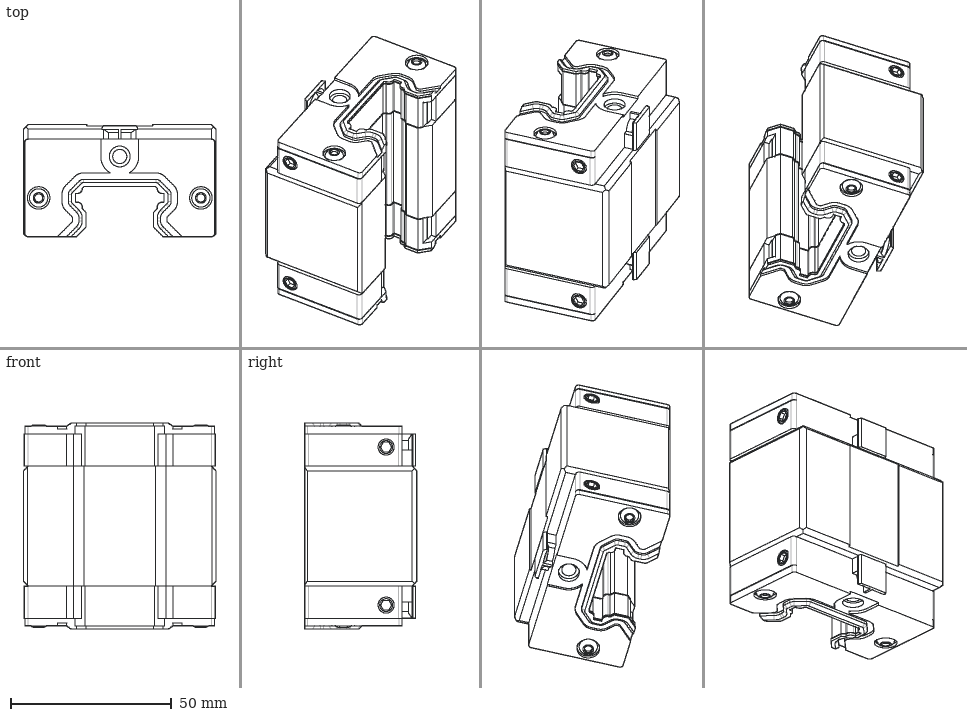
import cadquery as cq


block_half_length = 18.7
cap_length = 10.0
plate_thickness = 2.4
seal_height = 1.0
cap_start = block_half_length
plate_start = cap_start + cap_length
plate_end = plate_start + plate_thickness

block_width = 60.0
block_height = 35.0
block_chamfer = 1.5
foot_chamfer_x = 1.25
foot_chamfer_y = 0.85
relief_width = 20.4
relief_depth = 0.5

cap_width = 59.5
plate_width = 59.0
end_height = 30.4
cap_foot_y = 0.05
cap_corner_radius = 1.15
plate_corner_radius = 1.0

lip_half_gap = 10.5
lip_chamfer = 3.0
lip_top = 7.6
step_half_gap = 11.6
step_slope = step_half_gap - lip_half_gap
groove_half_gap = 13.75
groove_bottom = 10.8
groove_top = 13.45
groove_corner_radius = 1.6
roof_y = 15.65
roof_chamfer = 0.5
cap_clearance = 0.3
block_clearance = 0.6
below_part = 10.0
selection_slack = 0.5

seal_foot_line = 16.6
seal_neck_line = 5.8
seal_half_width = 16.0
seal_neck_half_width = 12.7
seal_shoulder_line = 29.95
seal_roof_y = 17.9
seal_neck_radius = 2.5
seal_shoulder_radius = 2.0
channel_width = 2.0
channel_depth = 0.85

grease_y = 25.0
grease_recess_radius = 5.9
grease_counterbore = 6.5
grease_hole = 4.4

screw_x = 25.25
screw_y = 12.1
screw_counterbore = 7.0
screw_counterbore_depth = 1.0
screw_head = 5.7
screw_head_height = 1.4
screw_head_flat = 3.3
screw_bulge = 0.22
screw_socket = 2.5
screw_socket_depth = 0.8

side_screw_y = 25.4
side_screw_z = 24.6
side_screw_diameter = 5.0
side_screw_chamfer = 0.5
side_hex_flats = 3.0
side_hex_depth = 1.5
hex_corner_per_flat = 2 / 3 ** 0.5

tab_top = 34.6
tab_flange_thickness = 1.2
tab_half_width = 5.1
tab_bevel_width = 0.5
tab_bevel_height = 0.9
tab_neck_diameter = 7.0
tab_neck_offset = 0.6
tab_cone_radius = 4.85
tab_cone_height = 1.0
tab_rib_width = 0.8

slot_inner_x = 11.7
slot_step_x = 14.4
slot_outer_x = 16.6
slot_depth_outer = 1.7
slot_depth_inner = 2.0


def box(x_min, x_max, y_min, y_max, z_min, z_max):
    """Box given by its limits along each axis."""
    size = (x_max - x_min, y_max - y_min, z_max - z_min)
    return cq.Workplane("XY").box(*size, centered=False).translate((x_min, y_min, z_min))


def both_sides(half):
    """Outline points for +X, followed by their mirror images back along -X."""
    return half + [(-x, y) for x, y in reversed(half)]


def rail_opening(clearance, z_min, z_max):
    """Rail passage, widened all round by the clearance."""
    flare = lip_half_gap + lip_chamfer + below_part
    half = [
        (flare, -below_part),
        (lip_half_gap, lip_chamfer),
        (lip_half_gap, lip_top),
        (step_half_gap, lip_top + step_slope),
        (step_half_gap, groove_bottom),
        (groove_half_gap, groove_bottom),
        (groove_half_gap, groove_top),
        (step_half_gap, groove_top),
        (step_half_gap, roof_y - roof_chamfer),
        (step_half_gap - roof_chamfer, roof_y),
    ]
    opening = cq.Workplane("XY").polyline(both_sides(half)).close().extrude(z_max - z_min)
    noses = cq.selectors.BoxSelector(
        (-step_half_gap - selection_slack, groove_bottom - selection_slack, z_min - z_max),
        (step_half_gap + selection_slack, groove_top + selection_slack, z_max - z_min),
    )
    opening = opening.edges("|Z").edges(noses).fillet(groove_corner_radius)
    if clearance > 0:
        outline = opening.faces("<Z").wires().val().offset2D(clearance, "intersection")[0]
        opening = cq.Workplane("XY").add(outline).toPending().extrude(z_max - z_min)
    return opening.translate((0, 0, z_min))


def seal_outline(margin, z_min, height):
    """Prism inside the outer edge of the seal lip, grown by the margin."""
    half = [
        (seal_foot_line + below_part, -below_part),
        (seal_neck_half_width, seal_foot_line - seal_neck_half_width),
        (seal_neck_half_width, seal_neck_half_width - seal_neck_line),
        (seal_half_width, seal_half_width - seal_neck_line),
        (seal_half_width, seal_shoulder_line - seal_half_width),
        (seal_shoulder_line - seal_roof_y, seal_roof_y),
    ]
    prism = cq.Workplane("XY").polyline(both_sides(half)).close().extrude(height)
    neck_corners = cq.selectors.BoxSelector(
        (-seal_neck_half_width - selection_slack, 0, -height),
        (seal_neck_half_width + selection_slack, seal_half_width - seal_neck_line, 2 * height),
    )
    prism = prism.edges("|Z").edges(neck_corners).fillet(seal_neck_radius)
    shoulders = cq.selectors.BoxSelector(
        (-block_width, seal_half_width - seal_neck_line - selection_slack, -height),
        (block_width, block_height, 2 * height),
    )
    prism = prism.edges("|Z").edges(shoulders).fillet(seal_shoulder_radius)
    if margin > 0:
        outline = prism.faces("<Z").wires().val().offset2D(margin)[0]
        prism = cq.Workplane("XY").add(outline).toPending().extrude(height)
    return prism.translate((0, 0, z_min))


def make_block():
    half_width = block_width / 2
    half = [
        (half_width - foot_chamfer_x, 0),
        (half_width, foot_chamfer_y),
        (half_width, block_height - block_chamfer),
        (half_width - block_chamfer, block_height),
        (relief_width / 2, block_height),
        (relief_width / 2, block_height - relief_depth),
    ]
    length = 2 * block_half_length
    body = cq.Workplane("XY").polyline(both_sides(half)).close().extrude(length)
    body = body.translate((0, 0, -block_half_length))
    ends = box(-half_width, half_width, 0, block_height, -block_half_length, block_half_length)
    ends = ends.faces(">Z or <Z").edges("not <Y").chamfer(block_chamfer)
    opening = rail_opening(block_clearance, -block_half_length, block_half_length)
    return body.intersect(ends).cut(opening)


def make_cap():
    cap = box(-cap_width / 2, cap_width / 2, cap_foot_y, end_height, cap_start, plate_start)
    cap = cap.edges("|Z").fillet(cap_corner_radius)
    cap = cap.cut(rail_opening(cap_clearance, cap_start, plate_start))
    for side in (-1, 1):
        for near, far, depth in (
            (slot_inner_x, slot_step_x, slot_depth_inner),
            (slot_step_x, slot_outer_x, slot_depth_outer),
        ):
            x_min, x_max = sorted((side * near, side * far))
            cap = cap.cut(box(x_min, x_max, cap_foot_y, depth, cap_start, plate_start))
        cap = cap.cut(side_screw_recess(side))
    return cap.union(make_tab())


def side_screw_recess(side):
    """Groove around a set screw's chamfered end, and its hex socket."""
    radius = side_screw_diameter / 2
    groove = (
        cq.Workplane("XY")
        .polyline([
            (radius - side_screw_chamfer, 0),
            (radius, 0),
            (radius, -side_screw_chamfer),
        ])
        .close()
        .revolve(360, (0, 0, 0), (0, 1, 0))
        .rotate((0, 0, 0), (1, 0, 0), 90)
    )
    socket = (
        cq.Workplane("XY")
        .polygon(6, side_hex_flats * hex_corner_per_flat)
        .extrude(-side_hex_depth)
        .rotate((0, 0, 0), (0, 0, 1), 90)
    )
    recess = groove.union(socket).rotate((0, 0, 0), (0, 1, 0), side * 90)
    return recess.translate((side * cap_width / 2, side_screw_y, side_screw_z))


def make_tab():
    """Flanged tab: square behind, and a round neck with a rib in front."""
    middle_z = cap_start + cap_length / 2
    flange_bottom = tab_top - tab_flange_thickness
    flange_half = [
        (tab_half_width + tab_bevel_width, flange_bottom),
        (tab_half_width + tab_bevel_width, tab_top - tab_bevel_height),
        (tab_half_width, tab_top),
    ]
    flange = cq.Workplane("XY").polyline(both_sides(flange_half)).close().extrude(cap_length)
    flange = flange.translate((0, 0, cap_start))
    root = end_height - cap_corner_radius
    back = box(-tab_half_width, tab_half_width, root, flange_bottom, cap_start, middle_z)
    rib = box(-tab_rib_width / 2, tab_rib_width / 2, root, flange_bottom, middle_z, plate_start)
    neck_radius = tab_neck_diameter / 2
    neck = (
        cq.Workplane("XZ", origin=(0, root, middle_z - tab_neck_offset))
        .circle(neck_radius)
        .extrude(root - flange_bottom)
    )
    cone = cq.Workplane("XY").add(
        cq.Solid.makeCone(
            neck_radius,
            tab_cone_radius,
            tab_cone_height,
            pnt=cq.Vector(0, flange_bottom - tab_cone_height, middle_z),
            dir=cq.Vector(0, 1, 0),
        )
    )
    return back.union(flange).union(rib).union(neck).union(cone)


def make_plate():
    plate = box(-plate_width / 2, plate_width / 2, 0, end_height, plate_start, plate_end)
    plate = plate.edges("|Z").fillet(plate_corner_radius)
    floor_z = plate_end - channel_depth
    grease_recess = (
        cq.Workplane("XY", origin=(0, grease_y, floor_z))
        .circle(grease_recess_radius)
        .extrude(channel_depth)
    )
    grease_recess = grease_recess.union(
        box(-grease_recess_radius, grease_recess_radius, grease_y, end_height, floor_z, plate_end)
    )
    plate = plate.cut(seal_outline(channel_width, floor_z, channel_depth)).cut(grease_recess)
    lip = seal_outline(0, floor_z, channel_depth + seal_height)
    lip = lip.faces(">Z").edges().chamfer(seal_height)
    seal_end = plate_end + seal_height
    lip = lip.intersect(box(-block_width, block_width, 0, end_height, floor_z, seal_end))
    plate = plate.union(lip)
    plate = plate.cut(rail_opening(cap_clearance, plate_start, plate_end))
    return plate.cut(rail_opening(0, plate_end, seal_end))


def plate_screw(x):
    """Domed screw head with a round socket, standing on its counterbore floor."""
    radius = screw_head / 2
    flat_radius = screw_head_flat / 2
    bulge_point = ((radius + flat_radius) / 2 + screw_bulge, screw_head_height / 2 + screw_bulge)
    head = (
        cq.Workplane("XZ")
        .lineTo(radius, 0)
        .threePointArc(bulge_point, (flat_radius, screw_head_height))
        .lineTo(0, screw_head_height)
        .close()
        .revolve(360, (0, 0, 0), (0, 1, 0))
    )
    head = head.faces(">Z").workplane().hole(screw_socket, screw_socket_depth)
    return head.translate((x, screw_y, plate_end - screw_counterbore_depth))


def make_end():
    end = make_cap().union(make_plate())
    grease_axis = cq.Workplane("XY", origin=(0, grease_y, cap_start))
    end = end.cut(grease_axis.circle(grease_hole / 2).extrude(cap_length))
    counterbore = grease_axis.workplane(offset=cap_length)
    end = end.cut(counterbore.circle(grease_counterbore / 2).extrude(plate_thickness))
    for x in (-screw_x, screw_x):
        pocket = (
            cq.Workplane("XY", origin=(x, screw_y, plate_end))
            .circle(screw_counterbore / 2)
            .extrude(-screw_counterbore_depth)
        )
        end = end.cut(pocket).union(plate_screw(x))
    return end


end = make_end()
result = make_block().union(end).union(end.mirror("XY"))